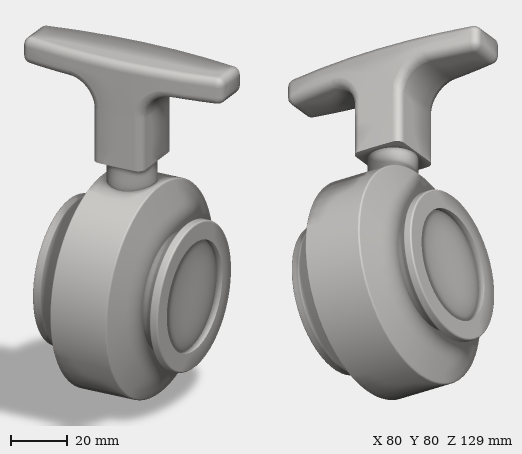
import cadquery as cq
import math

housing_radius = 40.0
housing_rim_half_width = 11.2
housing_edge_radius = 0.8
cone_angle = 15.0
neck_radius = 44.0 / 2

ferrule_face_x = 25.0
ferrule_radius = 55.0 / 2
ferrule_rim_width = 3.1
ferrule_angle = 20.0
ferrule_edge_radius = 0.6
port_diameter = 41.2
port_depth = 2.3

handle_length = 80.0
handle_top_z = 89.0
handle_height = 40.0
handle_bottom_z = handle_top_z - handle_height
bar_height = 10.0
shank_width = 20.0
shank_corner_radius = 10.0
handle_end_width = 15.0
handle_side_radius = 200.0
handle_edge_radius = 3.0

stem_diameter = 18.0
stem_seat_z = 38.7


def make_stem():
    return (
        cq.Workplane("XY", origin=(0, 0, stem_seat_z))
        .circle(stem_diameter / 2)
        .extrude(handle_bottom_z - stem_seat_z)
    )


def make_housing(stem):
    cone_foot_x = housing_rim_half_width + (housing_radius - neck_radius) * math.tan(math.radians(cone_angle))
    rim_back_x = ferrule_face_x - ferrule_rim_width
    ferrule_foot_x = rim_back_x - (ferrule_radius - neck_radius) * math.tan(math.radians(ferrule_angle))

    half_profile = [
        (housing_rim_half_width, housing_radius),
        (cone_foot_x, neck_radius),
        (ferrule_foot_x, neck_radius),
        (rim_back_x, ferrule_radius),
        (ferrule_face_x, ferrule_radius),
        (ferrule_face_x, 0),
    ]
    mirrored = [(-x, radius) for x, radius in reversed(half_profile)]
    housing = (
        cq.Workplane("XZ")
        .polyline(mirrored + half_profile)
        .close()
        .revolve(360, (0, 0, 0), (1, 0, 0))
    )

    def circles_of(radius):
        circles = housing.edges("%CIRCLE").vals()
        return [edge for edge in circles if math.isclose(edge.radius(), radius)]

    housing = housing.newObject(circles_of(housing_radius)).fillet(housing_edge_radius)
    housing = housing.newObject(circles_of(ferrule_radius)).fillet(ferrule_edge_radius)

    for face in (">X", "<X"):
        housing = housing.faces(face).workplane().circle(port_diameter / 2).cutBlind(-port_depth)

    return housing.cut(stem)


def make_handle():
    half_length = handle_length / 2
    half_shank = shank_width / 2
    half_end = handle_end_width / 2
    bar_bottom_z = handle_top_z - bar_height
    arc_end_x = half_shank + shank_corner_radius
    arc_end_z = bar_bottom_z - shank_corner_radius
    side_bulge = handle_side_radius - math.sqrt(handle_side_radius**2 - half_length**2)
    half_middle = half_end + side_bulge

    t_shape = (
        cq.Workplane("XZ")
        .moveTo(-half_length, handle_top_z)
        .lineTo(half_length, handle_top_z)
        .lineTo(half_length, bar_bottom_z)
        .lineTo(arc_end_x, bar_bottom_z)
        .radiusArc((half_shank, arc_end_z), -shank_corner_radius)
        .lineTo(half_shank, handle_bottom_z)
        .lineTo(-half_shank, handle_bottom_z)
        .lineTo(-half_shank, arc_end_z)
        .radiusArc((-arc_end_x, bar_bottom_z), -shank_corner_radius)
        .lineTo(-half_length, bar_bottom_z)
        .close()
        .extrude(half_middle, both=True)
    )

    plan = (
        cq.Workplane("XY", origin=(0, 0, handle_bottom_z))
        .moveTo(-half_length, -half_end)
        .threePointArc((0, -half_middle), (half_length, -half_end))
        .lineTo(half_length, half_end)
        .threePointArc((0, half_middle), (-half_length, half_end))
        .close()
        .extrude(handle_height)
    )
    handle = t_shape.intersect(plan)

    side_edges = handle.edges().filter(lambda edge: edge.Center().z > handle_bottom_z + handle_edge_radius)
    tangent_lines = handle.edges("|Y").filter(lambda edge: abs(edge.Center().x) < half_length - handle_edge_radius)
    rounded_edges = [
        edge for edge in side_edges.vals()
        if not any(edge.isSame(line) for line in tangent_lines.vals())
    ]
    return handle.newObject(rounded_edges).fillet(handle_edge_radius)


stem = make_stem()
housing = make_housing(stem)
handle = make_handle()

result = cq.Compound.makeCompound([housing.val(), stem.val(), handle.val()])